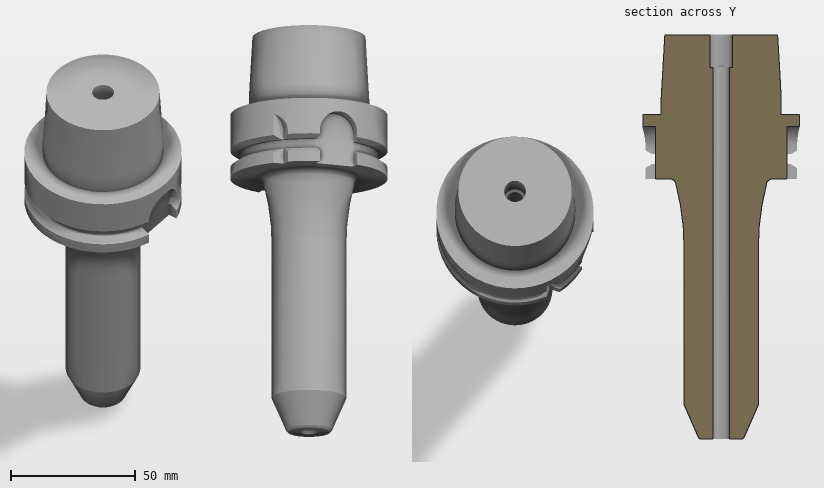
import cadquery as cq
import math

total_height = 162.0
taper_bottom = 136.5
flange_top = 130.1
upper_chamfer_top = 115.5
groove_top = 114.0
groove_bottom = 110.2
lower_chamfer_bottom = 108.5
flange_bottom = 104.2
flare_top = 101.7
flare_bottom = 77.0
nose_top = 14.0

shank_top_radius = 22.7
shank_radius = 24.1
flange_diameter = 63.0
flange_radius = flange_diameter / 2
groove_lip_radius = 29.0
groove_radius = 27.5
collar_radius = 20.4
flare_top_radius = 18.1
neck_diameter = 30.0
neck_radius = neck_diameter / 2
nose_radius = 9.2
nose_edge = 0.8

bore_radius = 3.2
counterbore_radius = 4.4
counterbore_depth = 13.0

slot_radius = 8.1
wide_slot_radius = 9.0
slot_top = 125.0
drive_slot_floor = 26.4
notch_floor = 20.4
notch_inner_edge = 19.6
tool_clearance = 8.1


def tangent_arc_midpoint(start_radius, start_height, end_radius, end_height):
    """Middle of an arc that starts parallel to Z and curves outwards."""
    rise = end_height - start_height
    spread = end_radius - start_radius
    arc_radius = (rise**2 + spread**2) / (2 * spread)
    half_angle = math.asin(rise / arc_radius) / 2
    return (
        start_radius + arc_radius * (1 - math.cos(half_angle)),
        start_height + arc_radius * math.sin(half_angle),
    )


def turned_body():
    flare_mid = tangent_arc_midpoint(neck_radius, flare_bottom, flare_top_radius, flare_top)
    collar_mid = tangent_arc_midpoint(flare_top_radius, flare_top, collar_radius, flange_bottom)
    profile = (
        cq.Workplane("XZ")
        .lineTo(nose_radius - nose_edge, 0)
        .lineTo(nose_radius, nose_edge)
        .lineTo(neck_radius, nose_top)
        .lineTo(neck_radius, flare_bottom)
        .threePointArc(flare_mid, (flare_top_radius, flare_top))
        .threePointArc(collar_mid, (collar_radius, flange_bottom))
        .lineTo(flange_radius, flange_bottom)
        .lineTo(flange_radius, lower_chamfer_bottom)
        .lineTo(groove_lip_radius, groove_bottom)
        .lineTo(groove_radius, groove_bottom)
        .lineTo(groove_radius, groove_top)
        .lineTo(groove_lip_radius, groove_top)
        .lineTo(flange_radius, upper_chamfer_top)
        .lineTo(flange_radius, flange_top)
        .lineTo(shank_radius, flange_top)
        .lineTo(shank_radius, taper_bottom)
        .lineTo(shank_top_radius, total_height)
        .lineTo(0, total_height)
        .close()
    )
    return profile.revolve(360, (0, 0), (0, 1))


def slot_cutter(center_y, radius, floor, side):
    """Round-topped cutter outside x = side * floor, open through the flange bottom."""
    arch_center = slot_top - radius
    length = flange_radius + tool_clearance - floor
    return (
        cq.Workplane("YZ", origin=(side * floor, 0, 0))
        .moveTo(center_y - radius, flange_bottom)
        .lineTo(center_y - radius, arch_center)
        .threePointArc((center_y, slot_top), (center_y + radius, arch_center))
        .lineTo(center_y + radius, flange_bottom)
        .close()
        .extrude(side * length)
    )


body = turned_body()

for side, radius in ((-1, slot_radius), (1, wide_slot_radius)):
    body = body.cut(slot_cutter(0, radius, drive_slot_floor, side))

body = body.cut(slot_cutter(notch_inner_edge + slot_radius, slot_radius, notch_floor, -1))

bore = cq.Workplane("XY").circle(bore_radius).extrude(total_height)
counterbore = (
    cq.Workplane("XY", origin=(0, 0, total_height - counterbore_depth))
    .circle(counterbore_radius)
    .extrude(counterbore_depth)
)
result = body.cut(bore).cut(counterbore)